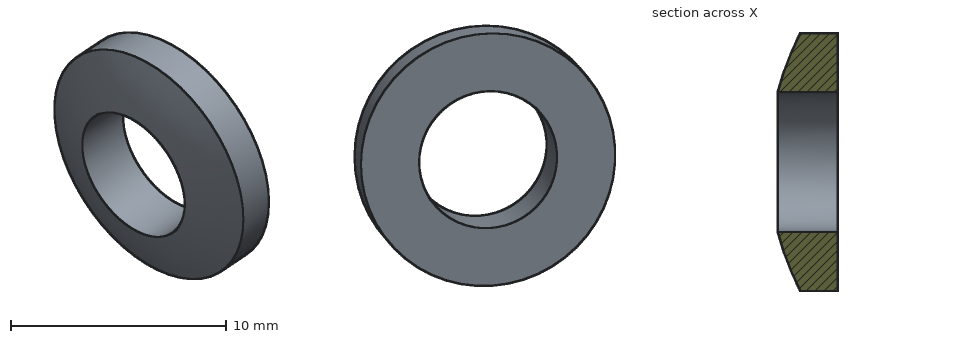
import cadquery as cq
import math

outer_radius = 6.0
bore_radius = 3.25
total_thickness = 2.8
rim_thickness = 1.75

dome_height = total_thickness - rim_thickness
centre_to_rim_plane = (outer_radius**2 - bore_radius**2 - dome_height**2) / (2 * dome_height)
sphere_radius = math.hypot(outer_radius, centre_to_rim_plane)

middle_radius = (bore_radius + outer_radius) / 2
middle_rise = math.sqrt(sphere_radius**2 - middle_radius**2) - centre_to_rim_plane


def washer_profile():
    """Half section in the XY plane, with the flat face on Y = 0."""
    return (
        cq.Workplane("XY")
        .moveTo(bore_radius, 0)
        .lineTo(outer_radius, 0)
        .lineTo(outer_radius, -rim_thickness)
        .threePointArc(
            (middle_radius, -rim_thickness - middle_rise),
            (bore_radius, -total_thickness),
        )
        .close()
    )


result = washer_profile().revolve(360, (0, 0, 0), (0, 1, 0))